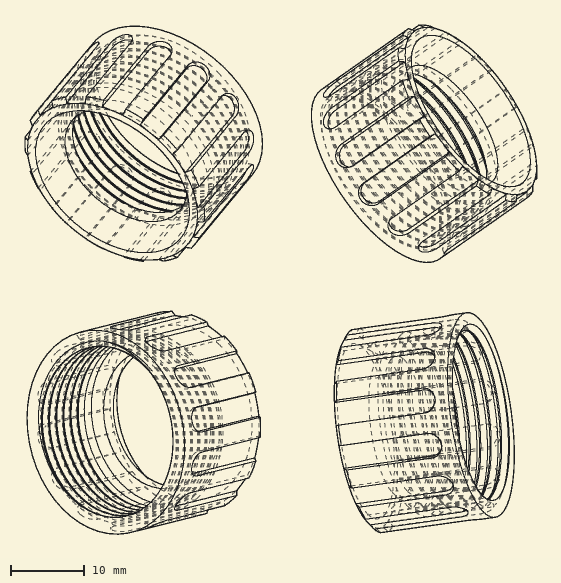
import cadquery as cq
import math

outer_radius = 14.0
length = 16.5
front_y = -length / 2
rear_y = length / 2

rim_radius = 13.25
rim_chamfer_length = 0.6

mouth_radius = 24.0 / 2
throat_radius = 19.0 / 2
thread_bore_radius = 23.38 / 2
cone_depth = 3.7
shoulder_depth = 5.75

thread_turns = 8
thread_travel = 11.98
thread_pitch = thread_travel / thread_turns
thread_start_depth = 6.75
flank_angle = math.radians(30)
crest_round = 0.35
crest_gap = 0.05
crest_overlap = 0.005
core_margin = 2.8

slot_count = 14
slot_floor_radius = rim_radius
slot_floor_width = 3.2
slot_draft = 12
slot_floor_end_depth = 14.4
overrun = 1.4


def make_body():
    """Ring with a chamfered front rim and a stepped, conical bore."""
    profile = [
        (mouth_radius, front_y),
        (rim_radius, front_y),
        (outer_radius, front_y + rim_chamfer_length),
        (outer_radius, rear_y),
        (thread_bore_radius, rear_y),
        (thread_bore_radius, front_y + shoulder_depth),
        (throat_radius, front_y + shoulder_depth),
        (throat_radius, front_y + cone_depth),
    ]
    return cq.Workplane("XY").polyline(profile).close().revolve(360, (0, 0, 0), (0, 1, 0))


def make_thread_coil():
    """Coil that fills the thread groove, starting on the -Z side just past the shoulder."""
    apex_radius = thread_bore_radius - crest_overlap
    apex_half_width = (thread_pitch - crest_gap) / 2
    flank_radius = apex_radius + crest_round * (1 - math.sin(flank_angle))
    flank_half_width = apex_half_width - crest_round * math.cos(flank_angle)
    root_radius = flank_radius + flank_half_width / math.tan(flank_angle)
    half_arc = (math.pi / 2 - flank_angle) / 2
    middle_radius = apex_radius + crest_round * (1 - math.cos(half_arc))
    middle_half_width = apex_half_width - crest_round * math.sin(half_arc)
    inner_radius = apex_radius - crest_round

    groove = (
        cq.Workplane("XZ")
        .moveTo(inner_radius, -apex_half_width)
        .lineTo(apex_radius, -apex_half_width)
        .threePointArc((middle_radius, -middle_half_width), (flank_radius, -flank_half_width))
        .lineTo(root_radius, 0)
        .lineTo(flank_radius, flank_half_width)
        .threePointArc((middle_radius, middle_half_width), (apex_radius, apex_half_width))
        .lineTo(inner_radius, apex_half_width)
        .close()
    )
    helix = cq.Wire.makeHelix(thread_pitch, thread_travel, thread_bore_radius)
    return (
        groove.sweep(cq.Workplane(obj=helix), isFrenet=True)
        .rotate((0, 0, 0), (0, 0, 1), 90)
        .rotate((0, 0, 0), (1, 0, 0), -90)
        .translate((0, front_y + thread_start_depth, 0))
    )


def make_thread_cutter():
    """Thread groove alone: the coil with everything inside the bore removed."""
    core_start = front_y + thread_start_depth - core_margin
    core_length = thread_travel + 2 * core_margin
    core = cq.Workplane("XZ", origin=(0, core_start, 0)).circle(thread_bore_radius).extrude(-core_length)
    return make_thread_coil().cut(core)


def make_slot():
    """Cutter for the top slot: flat floor, drafted walls, round rear end, open at the front."""
    start = front_y - overrun
    end = front_y + slot_floor_end_depth
    return (
        cq.Workplane("XY", origin=(0, (start + end) / 2, slot_floor_radius))
        .slot2D(end - start, slot_floor_width, 90)
        .extrude(overrun, taper=-slot_draft)
    )


result = make_body().cut(make_thread_cutter())
slot = make_slot()
for index in range(slot_count):
    result = result.cut(slot.rotate((0, 0, 0), (0, 1, 0), index * 360 / slot_count))